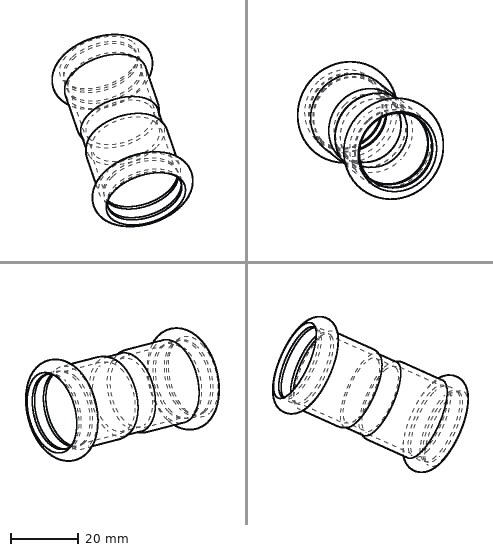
import cadquery as cq
import math

length = 52.5
half_length = length / 2

bead_outer_radius = 15.4
bead_width = 7.4
tube_radius = 25.3 / 2
neck_radius = 24.0 / 2
neck_half_width = 3.25
shoulder_length = 2.0

bore_radius = 22.05 / 2
neck_bore_radius = 21.0 / 2
lip_radius = 22.9 / 2
mouth_radius = 12.25
lip_start = 1.3
groove_start = 2.15
groove_end = 5.45
groove_depth = 0.35
bore_entry_start = 6.35
bore_entry_end = 7.4

bead_section_radius = bead_width / 2
bead_center_radius = bead_outer_radius - bead_section_radius
bead_rise = tube_radius - bead_center_radius
bead_foot = bead_section_radius + math.sqrt(bead_section_radius**2 - bead_rise**2)

neck_start = half_length - neck_half_width
shoulder_start = neck_start - shoulder_length


def tangent_arc_middle(tangent_point, end_point):
    """Mid-point of the arc that starts parallel to the axis and runs to the end point."""
    run = end_point[0] - tangent_point[0]
    rise = end_point[1] - tangent_point[1]
    arc_radius = (run**2 + rise**2) / (2 * abs(rise))
    half_angle = math.asin(abs(run) / arc_radius) / 2
    along = tangent_point[0] + math.copysign(arc_radius * math.sin(half_angle), run)
    radius = tangent_point[1] + math.copysign(arc_radius * (1 - math.cos(half_angle)), rise)
    return along, radius


def half_coupling():
    """Revolve the wall section from the mouth at x = 0 to the mid-plane."""
    tube_end = (shoulder_start, tube_radius)
    neck_end = (neck_start, neck_radius)
    bore_end = (shoulder_start, bore_radius)
    stop_edge = (neck_start, neck_bore_radius)
    entry_outer = (bore_entry_start, lip_radius)
    entry_inner = (bore_entry_end, bore_radius)

    section = (
        cq.Workplane("XY")
        .moveTo(0, mouth_radius)
        .threePointArc((bead_section_radius, bead_outer_radius), (bead_foot, tube_radius))
        .lineTo(*tube_end)
        .threePointArc(tangent_arc_middle(tube_end, neck_end), neck_end)
        .lineTo(half_length, neck_radius)
        .lineTo(half_length, neck_bore_radius)
        .lineTo(*stop_edge)
        .threePointArc(tangent_arc_middle(bore_end, stop_edge), bore_end)
        .lineTo(*entry_inner)
        .threePointArc(tangent_arc_middle(entry_inner, entry_outer), entry_outer)
        .lineTo(groove_end, lip_radius)
        .threePointArc(
            ((groove_start + groove_end) / 2, lip_radius + groove_depth),
            (groove_start, lip_radius),
        )
        .lineTo(lip_start, lip_radius)
        .close()
    )
    return section.revolve(360, (0, 0, 0), (1, 0, 0)).translate((-half_length, 0, 0))


half = half_coupling()
result = half.union(half.mirror("YZ")).clean()